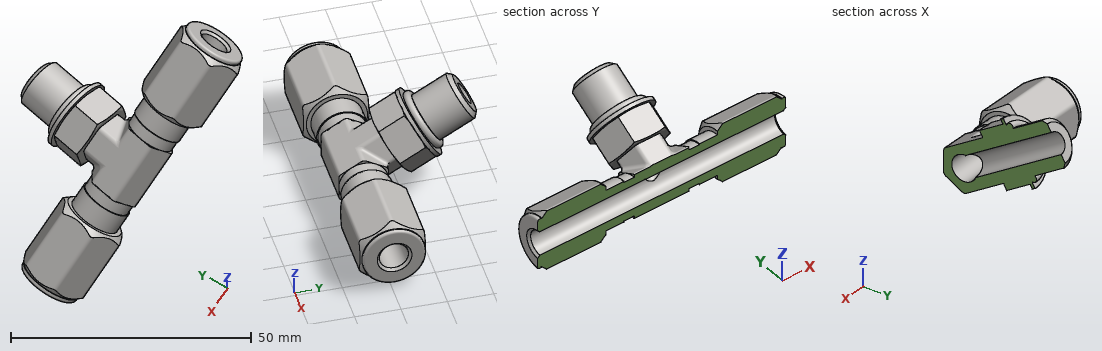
import cadquery as cq
import math


half_length = 32.65
branch_tilt = 30.0

body_flats = 10.7
body_half_length = 7.25
crotch_fillet = 1.0
tolerance = 0.0005

collar_radius = 5.35
collar_end = 9.9
neck_radius = 5.6
nut_flats = 14.1
edge_fillet = 1.1
nut_start = 14.6
nut_cone_radius = 6.6
nut_rim_radius = 6.8
nut_rim_length = 1.05
nut_rim_fillet = 0.5
run_bore = 6.25
run_bore_chamfer = 0.6

branch_hex_flats = 14.05
branch_hex_start = 8.5
flange_start = 15.4
flange_thickness = 0.9
flange_radius = 8.15
hex_chamfer_angle = 15.0
ring_outer_radius = 6.9
ring_section_radius = 0.9
ring_center = 17.0
stud_radius = 5.55
stud_chamfer = 1.0
branch_end = 27.3
branch_bore = 5.0

flange_end = flange_start + flange_thickness
nut_rim_start = half_length - nut_rim_length
hex_corner = 1 / math.cos(math.radians(30))

run_plane = cq.Plane(origin=(0, 0, 0), xDir=(0, 0, 1), normal=(1, 0, 0))
branch_direction = (0, math.cos(math.radians(branch_tilt)), math.sin(math.radians(branch_tilt)))
branch_plane = cq.Plane(origin=(0, 0, 0), xDir=(1, 0, 0), normal=branch_direction)


def hex_bar(plane, flats, start, end):
    """Hexagonal bar along the plane normal, with a corner on the local X axis."""
    bar = cq.Workplane(plane).workplane(offset=start).polygon(6, flats * hex_corner)
    return bar.extrude(end - start)


def round_bar(plane, radius, start, end):
    return cq.Workplane(plane).workplane(offset=start).circle(radius).extrude(end - start)


def turned(plane, profile):
    """Solid of revolution about the plane normal from (radius, position) points."""
    section = cq.Plane(origin=plane.origin, xDir=plane.xDir, normal=-plane.yDir)
    return cq.Workplane(section).polyline(profile).close().revolve(360, (0, 0, 0), (0, 1, 0))


def on_crotch(edge):
    """True for edges in the planes where the run and branch bars meet at 45 degrees."""
    axis = cq.Vector(*branch_direction)
    points = [edge.positionAt(step) for step in (0.1, 0.5, 0.9)]
    return all(abs(point.dot(axis) - abs(point.x)) < tolerance for point in points)


def make_body():
    """Hexagonal run bar and branch bar, joined with filleted crotches."""
    run = hex_bar(run_plane, body_flats, -body_half_length, body_half_length)
    run = run.edges("|X").fillet(edge_fillet)
    branch = hex_bar(branch_plane, body_flats, 0, branch_hex_start)
    branch = branch.edges(cq.selectors.ParallelDirSelector(branch_plane.zDir))
    branch = branch.fillet(edge_fillet)

    split_plane = cq.Plane(origin=(0, 0, 0), xDir=(1, 0, 0), normal=branch_plane.yDir)
    size = 4 * half_length
    half_space = cq.Workplane(split_plane).rect(size, size).extrude(size)
    half = run.union(branch).intersect(half_space)
    half = half.edges().filter(on_crotch).fillet(crotch_fillet)
    return half.union(half.mirror(split_plane.zDir))


def make_nut():
    """Union nut at +X: 45 degree cones on both ends of a rounded hexagon, then a rim."""
    hexagon = hex_bar(run_plane, nut_flats, nut_start, nut_rim_start)
    hexagon = hexagon.edges("|X").fillet(edge_fillet)
    middle = (nut_start + nut_rim_start) / 2
    cone_rise = (nut_rim_start - nut_start) / 2
    envelope = turned(run_plane, [
        (0, nut_start),
        (nut_cone_radius, nut_start),
        (nut_cone_radius + cone_rise, middle),
        (nut_cone_radius, nut_rim_start),
        (0, nut_rim_start),
    ])
    rim = round_bar(run_plane, nut_rim_radius, nut_rim_start, half_length)
    rim = rim.faces(">X").edges().fillet(nut_rim_fillet)
    return hexagon.intersect(envelope).union(rim)


def make_run_side():
    """Collar, neck and nut on the +X side."""
    collar = round_bar(run_plane, collar_radius, 0, collar_end)
    neck = round_bar(run_plane, neck_radius, collar_end, nut_start)
    return collar.union(neck).union(make_nut())


def make_branch():
    """Chamfered hexagon, flange, sealing ring and stud."""
    hexagon = hex_bar(branch_plane, branch_hex_flats, branch_hex_start, flange_start)
    flat_radius = branch_hex_flats / 2
    middle = (branch_hex_start + flange_start) / 2
    spread = (middle - branch_hex_start) / math.tan(math.radians(hex_chamfer_angle))
    envelope = turned(branch_plane, [
        (0, branch_hex_start),
        (flat_radius, branch_hex_start),
        (flat_radius + spread, middle),
        (flat_radius, flange_start),
        (0, flange_start),
    ])
    flange = round_bar(branch_plane, flange_radius, flange_start, flange_end)
    stud = turned(branch_plane, [
        (0, flange_start),
        (stud_radius, flange_start),
        (stud_radius, branch_end - stud_chamfer),
        (stud_radius - stud_chamfer, branch_end),
        (0, branch_end),
    ])
    ring_solid = cq.Solid.makeTorus(
        ring_outer_radius - ring_section_radius,
        ring_section_radius,
        branch_plane.toWorldCoords((0, 0, ring_center)),
        branch_plane.zDir,
    )
    ring = cq.Workplane(ring_solid)
    return hexagon.intersect(envelope).union(flange).union(stud).union(ring)


def make_bores():
    """Through bore of the run, chamfered at both mouths, and the branch bore."""
    bores = round_bar(run_plane, run_bore / 2, -half_length, half_length)
    mouth = turned(run_plane, [
        (0, half_length - run_bore_chamfer),
        (run_bore / 2, half_length - run_bore_chamfer),
        (run_bore / 2 + run_bore_chamfer, half_length),
        (0, half_length),
    ])
    branch = round_bar(branch_plane, branch_bore / 2, 0, branch_end)
    return bores.union(mouth).union(mouth.mirror("YZ")).union(branch)


body = make_body()
run_side = make_run_side()
result = body.union(run_side).union(run_side.mirror("YZ")).union(make_branch()).cut(make_bores())